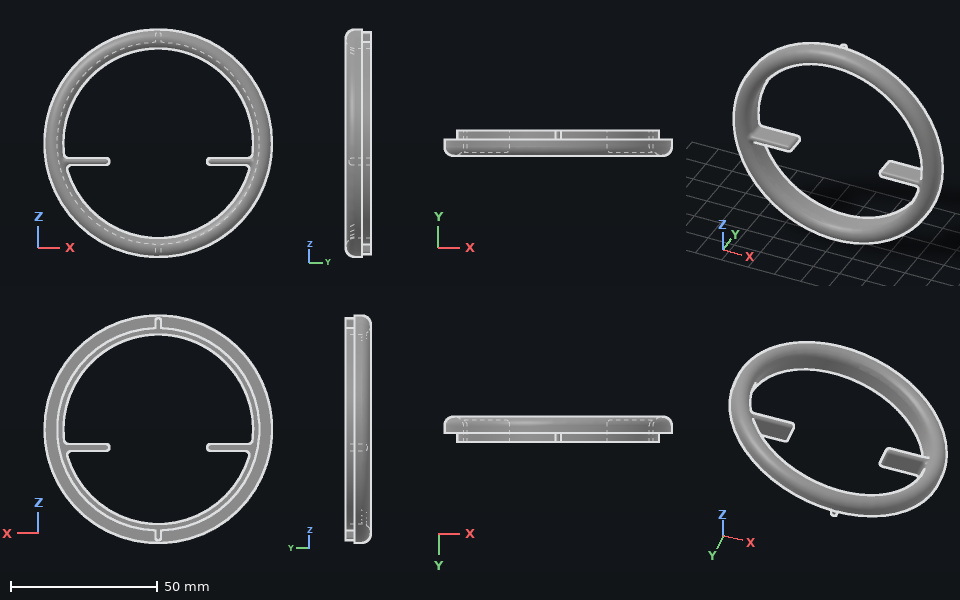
import cadquery as cq

outer_radius = 39.0
inner_radius = 32.45
collar_radius = 34.6
flange_depth = 2.4
collar_depth = 3.05
round_radius = (outer_radius - inner_radius) / 2
middle_radius = inner_radius + round_radius
flange_back = round_radius + flange_depth
ring_back = flange_back + collar_depth
collar_middle = (inner_radius + collar_radius) / 2

tab_tip = 16.7
tab_thickness = 2.5
tab_height = -6.25
tab_front = 1.2
tab_root_radius = 1.4

nub_width = 2.0
nub_reach = 38.1


def make_ring():
    profile = (
        cq.Workplane("XY")
        .moveTo(inner_radius, round_radius)
        .threePointArc((middle_radius, 0), (outer_radius, round_radius))
        .lineTo(outer_radius, flange_back)
        .lineTo(collar_radius, flange_back)
        .lineTo(collar_radius, ring_back)
        .lineTo(inner_radius, ring_back)
        .close()
    )
    return profile.revolve(360, (0, 0, 0), (0, 1, 0))


def make_tab():
    """Right-hand tab with fully rounded front and tip edges and a flat back."""
    edge_radius = tab_thickness / 2
    tip_center = tab_tip + edge_radius
    front_center = tab_front + edge_radius
    length = collar_middle - tip_center
    depth = ring_back - front_center
    corner = (tip_center, front_center, tab_height)

    slab = (
        cq.Workplane("XY", origin=corner)
        .rect(length, depth, centered=False)
        .extrude(edge_radius, both=True)
    )
    front_edge = cq.Workplane("YZ", origin=corner).circle(edge_radius).extrude(length)
    tip_edge = cq.Workplane("XZ", origin=corner).circle(edge_radius).extrude(-depth)
    corner_ball = cq.Workplane("XY", origin=corner).sphere(edge_radius)
    return slab.union(front_edge).union(tip_edge).union(corner_ball)


def make_nub():
    """Upper nub, rooted inside the collar wall."""
    end_center = nub_reach - nub_width / 2
    profile = (
        cq.Workplane("XZ", origin=(0, ring_back, 0))
        .moveTo(-nub_width / 2, collar_middle)
        .lineTo(-nub_width / 2, end_center)
        .threePointArc((0, nub_reach), (nub_width / 2, end_center))
        .lineTo(nub_width / 2, collar_middle)
        .close()
    )
    return profile.extrude(collar_depth)


def root_selector(side):
    """Select the edges where a tab meets the ring; side is 1 for right, -1 for left."""
    bore_side = inner_radius - 2 * tab_root_radius
    return cq.selectors.BoxSelector(
        (side * bore_side, 0, tab_height - tab_thickness),
        (side * middle_radius, ring_back, tab_height + tab_thickness),
    )


right_tab = make_tab()
left_tab = right_tab.mirror("YZ")
body = make_ring().union(right_tab).union(left_tab)

right_root = root_selector(1)
left_root = root_selector(-1)
body = body.edges(right_root + left_root).fillet(tab_root_radius)

upper_nub = make_nub()
lower_nub = upper_nub.mirror("XY")
result = body.union(upper_nub).union(lower_nub)